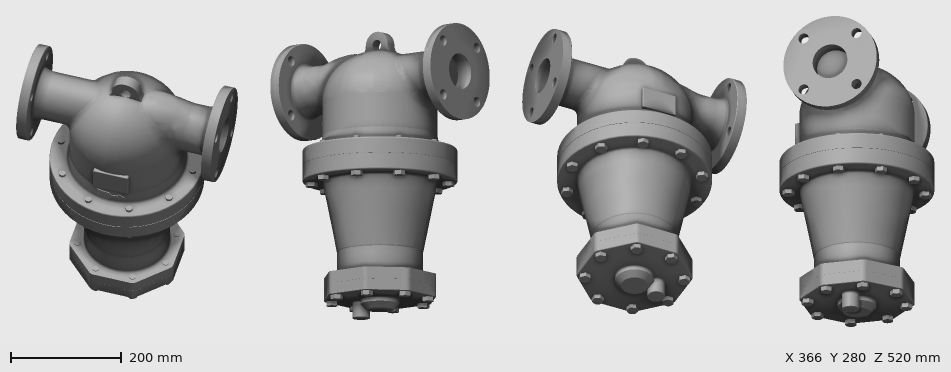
import cadquery as cq
import math


HOOD_RADIUS = 208 / 2
DOME_TOP_Z = 56.5
DOME_BASE_Z = -36.5
SKIRT_TOP_Z = -100
SKIRT_BOTTOM_RADIUS = 109
SKIRT_FILLET = 5

MAIN_FLANGE_RADIUS = 280 / 2
MAIN_FLANGE_TOP_Z = -124
MAIN_FLANGE_THICKNESS = 30
MAIN_FLANGE_EDGE = 3
MAIN_JOINT_GAP = 1
MAIN_JOINT_DEPTH = 0.8
MAIN_BOLT_COUNT = 10
MAIN_BOLT_CIRCLE_RADIUS = 124

TAPER_TOP_RADIUS = 104
TAPER_FILLET = 4
TAPER_BOTTOM_Z = -311.5
TAPER_STEP_HEIGHT = 1.5
TAPER_STEP_DEPTH = 0.7
NECK_RADIUS = 155 / 2
TAPER_BOTTOM_RADIUS = NECK_RADIUS + TAPER_STEP_DEPTH
NECK_FILLET = 4.5

OCTAGON_SIDES = 8
OCTAGON_ACROSS_FLATS = 195
OCTAGON_TOP_Z = -356.3
OCTAGON_UPPER_THICKNESS = 21.5
OCTAGON_LOWER_THICKNESS = 21
OCTAGON_JOINT_GAP = 0.1
OCTAGON_JOINT_DEPTH = 0.5
OCTAGON_CORNER_RADIUS = 12.5
OCTAGON_EDGE = 1
OCTAGON_BOLT_CIRCLE_RADIUS = 90

BOLT_DIAMETER = 12
BOLT_HEAD_SIDES = 6
BOLT_HEAD_ACROSS_FLATS = 19
BOLT_HEAD_HEIGHT = 8
BOLT_HEAD_BEVEL = 1
MAIN_BOLT_PROTRUSION = 5
OCTAGON_BOLT_PROTRUSION = 1.5

DRAIN_BOSS_RADIUS = 35
DRAIN_BOSS_STRAIGHT = 8.5
DRAIN_BOSS_BEVEL = 10.5
DRAIN_PIPE_DIAMETER = 32
DRAIN_PIPE_X = 43
DRAIN_PIPE_EDGE = 1
DRAIN_FILLET = 3
DRAIN_BOTTOM_Z = -428.96

FACE_TO_FACE = 366
PIPE_RADIUS = 89 / 2
PIPE_BORE_DIAMETER = 65
PIPE_BORE_DEPTH = 30
NOZZLE_FLANGE_DIAMETER = 175
NOZZLE_FLANGE_THICKNESS = 18.5
NOZZLE_FLANGE_EDGE = 1
NOZZLE_HOLE_DIAMETER = 19
NOZZLE_HOLE_CIRCLE_DIAMETER = 140
NOZZLE_HOLE_COUNT = 4
HUB_LENGTH = 20.5
HUB_RADIUS = 48
HUB_FILLET = 4
INLET_FILLET = 14
OUTLET_FILLET = 22
OUTLET_RISE = 12.3
OUTLET_BEND_START_X = 112
OUTLET_BEND_START_Z = 0.7
OUTLET_CREST_X = 60
OUTLET_CREST_RADIUS = 70
OUTLET_END_ANGLE = 35

LUG_RADIUS = 25
LUG_HOLE_DIAMETER = 20
LUG_HOLE_Z = 66
LUG_THICKNESS = 20
LUG_WAIST_HALF_WIDTH = 27.5
LUG_WAIST_Z = 57
LUG_FOOT_HALF_WIDTH = 32
LUG_FOOT_Z = 51
LUG_ROOT_Z = 40

PLATE_WIDTH = 66
PLATE_HEIGHT = 44
PLATE_CENTER_Z = -73
PLATE_FACE_Y = -107
PLATE_BACK_Y = -98
PLATE_CORNER_RADIUS = 3
PLATE_EDGE = 1.5

ARROW_HEIGHT = 1.5
ARROW_CENTER_Z = -111
ARROW_TAIL_X = -26
ARROW_NOTCH = 4
ARROW_SHOULDER_X = -3
ARROW_SHAFT_START_X = 2
ARROW_HEAD_START_X = 14
ARROW_TIP_X = 26
ARROW_TAIL_HALF = 7
ARROW_SHAFT_HALF = 3
ARROW_HEAD_HALF = 7

MAIN_JOINT_Z = MAIN_FLANGE_TOP_Z - MAIN_FLANGE_THICKNESS
MAIN_FLANGE_BOTTOM_Z = MAIN_JOINT_Z - MAIN_FLANGE_THICKNESS
OCTAGON_JOINT_Z = OCTAGON_TOP_Z - OCTAGON_UPPER_THICKNESS
OCTAGON_BOTTOM_Z = OCTAGON_JOINT_Z - OCTAGON_LOWER_THICKNESS
NOZZLE_FACE_X = FACE_TO_FACE / 2
NOZZLE_FLANGE_BACK_X = NOZZLE_FACE_X - NOZZLE_FLANGE_THICKNESS
HUB_END_X = NOZZLE_FLANGE_BACK_X - HUB_LENGTH


def hood():
    """Elliptical dome on a cylinder with a flared skirt, running into the main flange."""
    return (
        cq.Workplane("XZ")
        .moveTo(HOOD_RADIUS, DOME_BASE_Z)
        .lineTo(HOOD_RADIUS, SKIRT_TOP_Z)
        .lineTo(SKIRT_BOTTOM_RADIUS, MAIN_FLANGE_TOP_Z)
        .lineTo(0, MAIN_FLANGE_TOP_Z)
        .lineTo(0, DOME_BASE_Z)
        .close()
        .revolve(360, (0, 0, 0), (0, 1, 0))
        .union(dome())
    )


def dome():
    """Upper half of an ellipsoid, fitted tangent to the top of the hood cylinder."""
    height = DOME_TOP_Z - DOME_BASE_Z
    return (
        cq.Workplane("XZ", origin=(0, 0, DOME_BASE_Z))
        .moveTo(HOOD_RADIUS, 0)
        .ellipseArc(HOOD_RADIUS, height, 0, 90, startAtCurrent=True)
        .lineTo(0, 0)
        .close()
        .revolve(360, (0, 0, 0), (0, 1, 0))
    )


def inlet_pipe():
    """Straight pipe from the -X hub into the hood."""
    return cq.Workplane("YZ").circle(PIPE_RADIUS).extrude(-HUB_END_X)


def outlet_pipe():
    """Pipe on the +X side that rises over a crest and dips into the hood."""
    end_angle = math.radians(OUTLET_END_ANGLE)
    crest = (OUTLET_CREST_X, OUTLET_RISE)
    end = (
        OUTLET_CREST_X - OUTLET_CREST_RADIUS * math.sin(end_angle),
        OUTLET_RISE - OUTLET_CREST_RADIUS * (1 - math.cos(end_angle)),
    )
    end_direction = (-math.cos(end_angle), -math.sin(end_angle))
    path = (
        cq.Workplane("XZ")
        .moveTo(HUB_END_X, 0)
        .spline(
            [(OUTLET_BEND_START_X, OUTLET_BEND_START_Z), crest, end],
            tangents=[(-1, 0), end_direction],
            includeCurrent=True,
        )
    )
    return cq.Workplane("YZ", origin=(HUB_END_X, 0, 0)).circle(PIPE_RADIUS).sweep(path)


def blended_hood():
    """Hood with both pipes joined to it by rounded blends along their meeting curves."""
    body = hood()
    for pipe, blend, side in ((inlet_pipe(), INLET_FILLET, -1), (outlet_pipe(), OUTLET_FILLET, 1)):
        body = body.union(pipe)
        on_side = [edge for edge in body.edges("%BSPLINE").vals() if edge.Center().x * side > 0]
        seam = [edge for edge in on_side if edge.BoundingBox().xmax < OUTLET_BEND_START_X]
        body = body.newObject(seam).fillet(blend)
    return body


def main_flanges():
    """Two round flanges with rounded rims and a shallow groove where they meet."""
    groove_radius = MAIN_FLANGE_RADIUS - MAIN_JOINT_DEPTH
    pair = (
        cq.Workplane(origin=(0, 0, MAIN_FLANGE_BOTTOM_Z))
        .circle(MAIN_FLANGE_RADIUS)
        .extrude(2 * MAIN_FLANGE_THICKNESS)
        .edges()
        .fillet(MAIN_FLANGE_EDGE)
    )
    groove = (
        cq.Workplane(origin=(0, 0, MAIN_JOINT_Z - MAIN_JOINT_GAP / 2))
        .circle(MAIN_FLANGE_RADIUS)
        .circle(groove_radius)
        .extrude(MAIN_JOINT_GAP)
    )
    return pair.cut(groove)


def lower_body():
    """Tapered shell that steps down to the cylindrical neck."""
    return (
        cq.Workplane("XZ")
        .moveTo(0, MAIN_FLANGE_BOTTOM_Z)
        .lineTo(TAPER_TOP_RADIUS, MAIN_FLANGE_BOTTOM_Z)
        .lineTo(TAPER_BOTTOM_RADIUS, TAPER_BOTTOM_Z)
        .lineTo(NECK_RADIUS, TAPER_BOTTOM_Z - TAPER_STEP_HEIGHT)
        .lineTo(NECK_RADIUS, OCTAGON_TOP_Z)
        .lineTo(0, OCTAGON_TOP_Z)
        .close()
        .revolve(360, (0, 0, 0), (0, 1, 0))
    )


def octagon_plate(bottom_z, thickness, inset=0):
    """Octagonal plate with rounded corners and flats square to X and Y, drawn in by the inset."""
    turn = 180 / OCTAGON_SIDES
    across_corners = (OCTAGON_ACROSS_FLATS - 2 * inset) / math.cos(math.radians(turn))
    return (
        cq.Workplane()
        .polygon(OCTAGON_SIDES, across_corners)
        .extrude(thickness)
        .rotate((0, 0, 0), (0, 0, 1), turn)
        .translate((0, 0, bottom_z))
        .edges("|Z")
        .fillet(OCTAGON_CORNER_RADIUS - inset)
    )


def bottom_flanges():
    """Two octagonal flanges with a fine groove where they meet and a bevelled lower rim."""
    thickness = OCTAGON_UPPER_THICKNESS + OCTAGON_LOWER_THICKNESS
    pair = octagon_plate(OCTAGON_BOTTOM_Z, thickness).faces("<Z").edges().chamfer(OCTAGON_EDGE)
    groove_z = OCTAGON_JOINT_Z - OCTAGON_JOINT_GAP / 2
    groove = octagon_plate(groove_z, OCTAGON_JOINT_GAP).cut(
        octagon_plate(groove_z, OCTAGON_JOINT_GAP, OCTAGON_JOINT_DEPTH)
    )
    return pair.cut(groove)


def bolt(top_z, bottom_z, protrusion):
    """Bolt on the Z axis: end above top_z, shank through the flanges, hexagon head below bottom_z."""
    head_across_corners = BOLT_HEAD_ACROSS_FLATS / math.cos(math.pi / BOLT_HEAD_SIDES)
    head_z = bottom_z - BOLT_HEAD_HEIGHT
    head = (
        cq.Workplane(origin=(0, 0, head_z))
        .polygon(BOLT_HEAD_SIDES, head_across_corners)
        .extrude(BOLT_HEAD_HEIGHT)
    )
    rounding = (
        cq.Workplane(origin=(0, 0, head_z))
        .circle(head_across_corners / 2)
        .extrude(BOLT_HEAD_HEIGHT)
        .faces("<Z")
        .chamfer(BOLT_HEAD_BEVEL)
    )
    shank = (
        cq.Workplane(origin=(0, 0, bottom_z))
        .circle(BOLT_DIAMETER / 2)
        .extrude(top_z + protrusion - bottom_z)
    )
    return head.intersect(rounding).union(shank)


def bolt_ring(single, count, circle_radius, start_angle):
    """Copies of one bolt, each turned with its place on the bolt circle."""
    start = math.radians(start_angle)
    first = single.translate((circle_radius * math.cos(start), circle_radius * math.sin(start), 0))
    ring = cq.Workplane()
    for index in range(count):
        ring.add(first.rotate((0, 0, 0), (0, 0, 1), index * 360 / count))
    return ring.combine()


def drain():
    """Bevelled centre boss with an offset drain pipe beside it."""
    boss = (
        cq.Workplane(origin=(0, 0, OCTAGON_BOTTOM_Z))
        .circle(DRAIN_BOSS_RADIUS)
        .extrude(-(DRAIN_BOSS_STRAIGHT + DRAIN_BOSS_BEVEL))
        .faces("<Z")
        .chamfer(DRAIN_BOSS_BEVEL)
    )
    pipe = (
        cq.Workplane(origin=(DRAIN_PIPE_X, 0, OCTAGON_BOTTOM_Z))
        .circle(DRAIN_PIPE_DIAMETER / 2)
        .extrude(DRAIN_BOTTOM_Z - OCTAGON_BOTTOM_Z)
        .faces("<Z")
        .chamfer(DRAIN_PIPE_EDGE)
    )
    return boss.union(pipe)


def nozzle_end():
    """Flange and flared hub of the +X nozzle, pierced by its bolt holes."""
    hub_rim_x = NOZZLE_FLANGE_BACK_X - HUB_FILLET
    flare_run = hub_rim_x - HUB_END_X
    flare_rise = HUB_RADIUS - PIPE_RADIUS
    flare_middle = (HUB_END_X + flare_run / 2, PIPE_RADIUS + flare_rise / 4)
    fillet_middle = (
        hub_rim_x + HUB_FILLET * math.sin(math.pi / 4),
        HUB_RADIUS + HUB_FILLET * (1 - math.cos(math.pi / 4)),
    )
    flare = (
        cq.Workplane("XY")
        .moveTo(HUB_END_X, 0)
        .lineTo(HUB_END_X, PIPE_RADIUS)
        .threePointArc(flare_middle, (hub_rim_x, HUB_RADIUS))
        .threePointArc(fillet_middle, (NOZZLE_FLANGE_BACK_X, HUB_RADIUS + HUB_FILLET))
        .lineTo(NOZZLE_FLANGE_BACK_X, 0)
        .close()
        .revolve(360, (0, 0, 0), (1, 0, 0))
    )
    flange = (
        cq.Workplane("YZ", origin=(NOZZLE_FLANGE_BACK_X, 0, 0))
        .circle(NOZZLE_FLANGE_DIAMETER / 2)
        .extrude(NOZZLE_FLANGE_THICKNESS)
        .faces("<X")
        .chamfer(NOZZLE_FLANGE_EDGE)
    )
    holes = (
        cq.Workplane("YZ", origin=(NOZZLE_FLANGE_BACK_X, 0, 0))
        .polarArray(NOZZLE_HOLE_CIRCLE_DIAMETER / 2, 180 / NOZZLE_HOLE_COUNT, 360, NOZZLE_HOLE_COUNT)
        .circle(NOZZLE_HOLE_DIAMETER / 2)
        .extrude(NOZZLE_FLANGE_THICKNESS)
    )
    return flange.union(flare).cut(holes)


def nozzle_bore():
    """Blind bore of the +X nozzle."""
    return (
        cq.Workplane("YZ", origin=(NOZZLE_FACE_X, 0, 0))
        .circle(PIPE_BORE_DIAMETER / 2)
        .extrude(-PIPE_BORE_DEPTH)
    )


def lifting_lug():
    """Round-topped lug with flared feet, rooted in the crown of the dome."""
    return (
        cq.Workplane("XZ")
        .moveTo(-LUG_FOOT_HALF_WIDTH, LUG_ROOT_Z)
        .lineTo(-LUG_FOOT_HALF_WIDTH, LUG_FOOT_Z)
        .threePointArc((-LUG_WAIST_HALF_WIDTH, LUG_WAIST_Z), (-LUG_RADIUS, LUG_HOLE_Z))
        .threePointArc((0, LUG_HOLE_Z + LUG_RADIUS), (LUG_RADIUS, LUG_HOLE_Z))
        .threePointArc((LUG_WAIST_HALF_WIDTH, LUG_WAIST_Z), (LUG_FOOT_HALF_WIDTH, LUG_FOOT_Z))
        .lineTo(LUG_FOOT_HALF_WIDTH, LUG_ROOT_Z)
        .close()
        .extrude(LUG_THICKNESS / 2, both=True)
    )


def lug_hole():
    """Eye of the lifting lug."""
    return (
        cq.Workplane("XZ")
        .center(0, LUG_HOLE_Z)
        .circle(LUG_HOLE_DIAMETER / 2)
        .extrude(LUG_THICKNESS, both=True)
    )


def nameplate_pad():
    """Flat raised pad on the -Y side of the hood."""
    return (
        cq.Workplane("XZ", origin=(0, PLATE_BACK_Y, PLATE_CENTER_Z))
        .rect(PLATE_WIDTH, PLATE_HEIGHT)
        .extrude(PLATE_BACK_Y - PLATE_FACE_Y)
        .edges("|Y")
        .fillet(PLATE_CORNER_RADIUS)
        .faces("<Y")
        .edges()
        .fillet(PLATE_EDGE)
    )


def flow_arrow():
    """Arrow pointing to +X, raised evenly above the sloping skirt on the -Y side."""
    upper_half = [
        (ARROW_TAIL_X, ARROW_TAIL_HALF),
        (ARROW_SHOULDER_X, ARROW_TAIL_HALF),
        (ARROW_SHAFT_START_X, ARROW_SHAFT_HALF),
        (ARROW_HEAD_START_X, ARROW_SHAFT_HALF),
        (ARROW_HEAD_START_X, ARROW_HEAD_HALF),
    ]
    lower_half = [(x, -z) for x, z in reversed(upper_half)]
    outline = [(ARROW_TAIL_X + ARROW_NOTCH, 0)] + upper_half + [(ARROW_TIP_X, 0)] + lower_half
    prism = (
        cq.Workplane("XZ", origin=(0, 0, ARROW_CENTER_Z))
        .polyline(outline)
        .close()
        .extrude(MAIN_FLANGE_RADIUS)
    )
    raised_skirt = (
        cq.Workplane("XZ")
        .moveTo(0, SKIRT_TOP_Z)
        .lineTo(HOOD_RADIUS + ARROW_HEIGHT, SKIRT_TOP_Z)
        .lineTo(SKIRT_BOTTOM_RADIUS + ARROW_HEIGHT, MAIN_FLANGE_TOP_Z)
        .lineTo(0, MAIN_FLANGE_TOP_Z)
        .close()
        .revolve(360, (0, 0, 0), (0, 1, 0))
    )
    return prism.intersect(raised_skirt)


def circle_at(body, radius, z):
    """Circular edges of the given radius lying at height z."""
    tolerance = 0.01
    found = [
        edge
        for edge in body.edges("%CIRCLE").vals()
        if abs(edge.radius() - radius) < tolerance and abs(edge.arcCenter().z - z) < tolerance
    ]
    return body.newObject(found)


def assemble():
    """Join all parts, rounding each root before the features around it are added."""
    body = blended_hood().union(main_flanges()).union(lower_body()).union(bottom_flanges()).union(drain())
    body = circle_at(body, SKIRT_BOTTOM_RADIUS, MAIN_FLANGE_TOP_Z).fillet(SKIRT_FILLET)
    body = circle_at(body, TAPER_TOP_RADIUS, MAIN_FLANGE_BOTTOM_Z).fillet(TAPER_FILLET)
    body = circle_at(body, NECK_RADIUS, OCTAGON_TOP_Z).fillet(NECK_FILLET)
    drain_roots = circle_at(body, DRAIN_BOSS_RADIUS, OCTAGON_BOTTOM_Z)
    drain_roots = drain_roots.add(circle_at(body, DRAIN_PIPE_DIAMETER / 2, OCTAGON_BOTTOM_Z))
    body = body.newObject(drain_roots.vals()).fillet(DRAIN_FILLET)

    body = body.union(nozzle_end()).union(nozzle_end().mirror("YZ"))
    body = body.cut(nozzle_bore()).cut(nozzle_bore().mirror("YZ"))

    body = body.union(lifting_lug()).cut(lug_hole())
    body = body.union(nameplate_pad()).union(flow_arrow())

    main_bolt = bolt(MAIN_FLANGE_TOP_Z, MAIN_FLANGE_BOTTOM_Z, MAIN_BOLT_PROTRUSION)
    body = body.union(bolt_ring(main_bolt, MAIN_BOLT_COUNT, MAIN_BOLT_CIRCLE_RADIUS, 0))
    bottom_bolt = bolt(OCTAGON_TOP_Z, OCTAGON_BOTTOM_Z, OCTAGON_BOLT_PROTRUSION)
    half_side_angle = 180 / OCTAGON_SIDES
    return body.union(bolt_ring(bottom_bolt, OCTAGON_SIDES, OCTAGON_BOLT_CIRCLE_RADIUS, half_side_angle))


result = assemble()